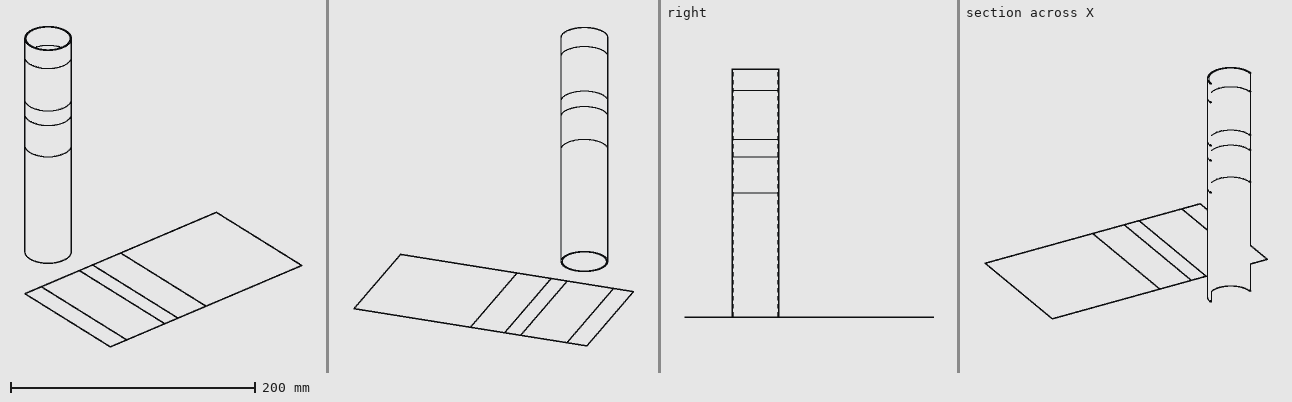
import cadquery as cq

tube_outer_diameter = 38.3
tube_inner_diameter = 36.1

overall_width = 168.87
sheet_start_x = 40.0
sheet_width = overall_width - tube_outer_diameter / 2 - sheet_start_x
sheet_thickness = 0.4

total_length = 203.2
plain_band = total_length / 2
wide_band = 29.8
narrow_band = 14.0
end_band = 17.4
long_band = total_length - plain_band - wide_band - narrow_band - end_band
band_lengths = [plain_band, wide_band, narrow_band, long_band, end_band]

sheet_back_y = 145.55


def tube_band(bottom_z, length):
    """One ring-shaped length of the tube."""
    return (
        cq.Workplane("XY", origin=(0, 0, bottom_z))
        .circle(tube_outer_diameter / 2)
        .circle(tube_inner_diameter / 2)
        .extrude(length)
    )


def sheet_band(back_y, length):
    """One flat strip of the sheet, reaching from back_y toward -Y."""
    return (
        cq.Workplane("XY", origin=(sheet_start_x, back_y - length, 0))
        .rect(sheet_width, length, centered=False)
        .extrude(sheet_thickness)
    )


tube_bands = []
sheet_bands = []
band_start = 0.0
for band_length in band_lengths:
    tube_bands.append(tube_band(band_start, band_length).val())
    sheet_bands.append(sheet_band(sheet_back_y - band_start, band_length).val())
    band_start += band_length

result = cq.Compound.makeCompound([*tube_bands, *sheet_bands])